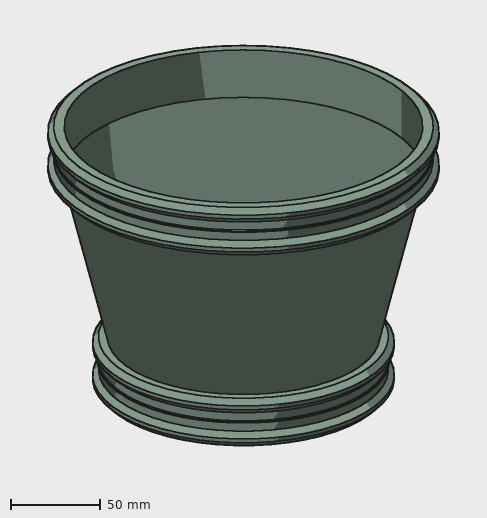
import cadquery as cq

TOTAL_HEIGHT = 158.8
LARGE_BORE_RADIUS = 200.0 / 2
SMALL_BORE_RADIUS = 150.0 / 2
CONE_WALL = 0.98
COLLAR_HEIGHT = 29.3
COLLAR_WALL = 6.0
FLANGE_PROJECTION = 3.3
FLANGE_RIM = 2.5
RIDGE_WIDTH = 1.3
RIDGE_PROJECTION = 0.7

FLANGE_HEIGHT = FLANGE_RIM + 2 * FLANGE_PROJECTION
CONE_TOP = TOTAL_HEIGHT - COLLAR_HEIGHT


def revolve_profile(points):
    """Revolve a closed (radius, height) outline about the Z axis."""
    return cq.Workplane("XZ").polyline(points).close().revolve(360, (0, 0), (0, 1))


def make_flange(bore_radius, waist_radius, base):
    """Ring with a double-bevelled outer rim."""
    rim_radius = waist_radius + FLANGE_PROJECTION
    rim_bottom = base + FLANGE_PROJECTION
    top = base + FLANGE_HEIGHT
    return revolve_profile([
        (bore_radius, base),
        (waist_radius, base),
        (rim_radius, rim_bottom),
        (rim_radius, rim_bottom + FLANGE_RIM),
        (waist_radius, top),
        (bore_radius, top),
    ])


def make_ring(inner_radius, outer_radius, base, height):
    """Plain cylindrical ring."""
    return cq.Workplane().workplane(offset=base).circle(outer_radius).circle(inner_radius).extrude(height)


def make_ridge(bore_radius, waist_radius, middle):
    """Thin ring whose outside tapers to a sharp edge just proud of the waist."""
    bottom = middle - RIDGE_WIDTH / 2
    top = middle + RIDGE_WIDTH / 2
    return revolve_profile([
        (bore_radius, bottom),
        (waist_radius, bottom),
        (waist_radius + RIDGE_PROJECTION, middle),
        (waist_radius, top),
        (bore_radius, top),
    ])


def make_collar(bore_radius, base):
    """Collar with a flange at each end and a fine pointed ridge around the middle of its waist."""
    waist_radius = bore_radius + COLLAR_WALL
    collar = make_ring(bore_radius, waist_radius, base, COLLAR_HEIGHT)
    for flange_base in (base, base + COLLAR_HEIGHT - FLANGE_HEIGHT):
        collar = collar.union(make_flange(bore_radius, waist_radius, flange_base))
    return collar.union(make_ridge(bore_radius, waist_radius, base + COLLAR_HEIGHT / 2))


def make_cone():
    """Thin tapered wall that joins the two collars, flush with their bores."""
    return revolve_profile([
        (SMALL_BORE_RADIUS, COLLAR_HEIGHT),
        (SMALL_BORE_RADIUS + CONE_WALL, COLLAR_HEIGHT),
        (LARGE_BORE_RADIUS + CONE_WALL, CONE_TOP),
        (LARGE_BORE_RADIUS, CONE_TOP),
    ])


collar_places = [
    (SMALL_BORE_RADIUS, 0),
    (LARGE_BORE_RADIUS, CONE_TOP),
]
collars = [make_collar(bore_radius, base) for bore_radius, base in collar_places]
cone = make_cone()

result = cq.Compound.makeCompound([cone.val(), *[collar.val() for collar in collars]])